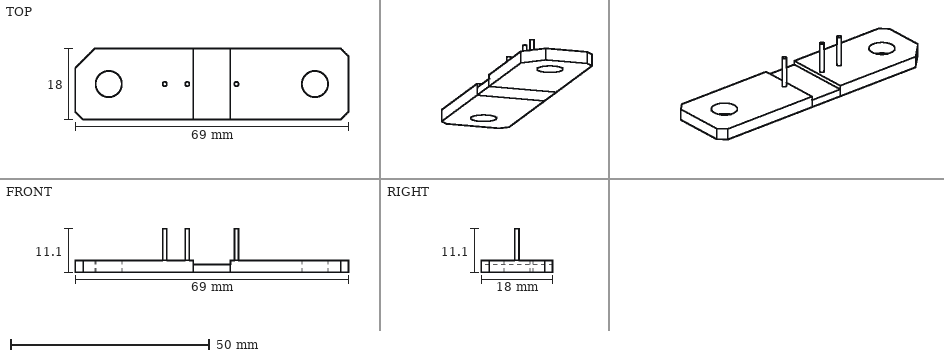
import cadquery as cq

length = 69.0
width = 18.0
total_height = 11.05

plate_thickness = 3.05
strip_thickness = 2.0
strip_length = 9.3
plate_length = (length - strip_length) / 2
corner_chamfer = 2.0
marker_chamfer = 5.0

hole_diameter = 6.55
hole_end_distance = 8.5
hole_x = length / 2 - hole_end_distance

pin_diameter = 1.1
pin_height = total_height - plate_thickness
sense_pin_x = 6.2
extra_pin_x = -11.9


def terminal_plate(side, back_chamfer):
    """Plate on the -X (side = -1) or +X (side = 1) end, with chamfered outer corners."""
    inner_x = side * strip_length / 2
    outer_x = side * length / 2
    half_width = width / 2
    outline = [
        (inner_x, -half_width),
        (outer_x - side * corner_chamfer, -half_width),
        (outer_x, -half_width + corner_chamfer),
        (outer_x, half_width - back_chamfer),
        (outer_x - side * back_chamfer, half_width),
        (inner_x, half_width),
    ]
    plate = cq.Workplane("XY").polyline(outline).close().extrude(plate_thickness)
    hole = cq.Workplane("XY").center(side * hole_x, 0).circle(hole_diameter / 2).extrude(plate_thickness)
    return plate.cut(hole)


def resistive_strip():
    """Thin strip joining the two plates, flush with their undersides."""
    return cq.Workplane("XY").box(strip_length, width, strip_thickness, centered=(True, True, False))


def pin(x):
    """Round pin standing on the top face of a plate."""
    return (
        cq.Workplane("XY", origin=(x, 0, plate_thickness))
        .circle(pin_diameter / 2)
        .extrude(pin_height)
    )


left_plate = terminal_plate(-1, marker_chamfer)
right_plate = terminal_plate(1, corner_chamfer)
strip = resistive_strip()
pins = [pin(x) for x in (extra_pin_x, -sense_pin_x, sense_pin_x)]

result = cq.Compound.makeCompound(
    [left_plate.val(), right_plate.val(), strip.val()] + [body.val() for body in pins]
)